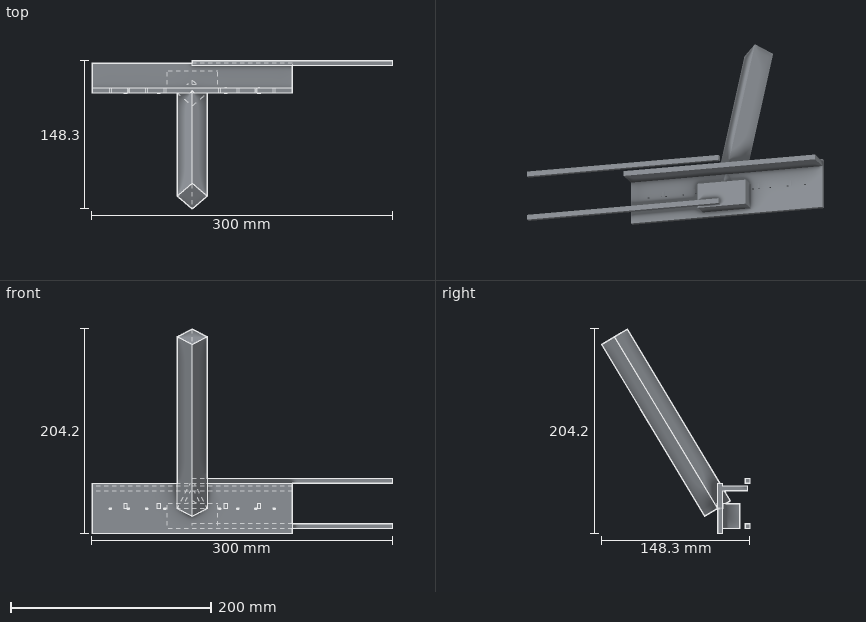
import cadquery as cq
import math


overall_length = 300.0
plate_length = overall_length * 2 / 3

plate_height = plate_length / 4
plate_thickness = plate_height / 10
flange_depth = 30.0
flange_drop = plate_thickness / 2

block_width = plate_height
block_height = plate_height / 2
block_rear = 22.2
block_bottom = plate_thickness

bar_length = plate_length
bar_diagonal = 30.0
bar_lean = 0.6
bar_tilt = math.degrees(math.atan(bar_lean))

peg_diameter = 6.0
peg_height = plate_thickness
peg_count = 5

slot_width = 2.0
slot_height = 1.0
slot_count = 10

rod_side = plate_thickness
rod_length = plate_length
rod_bottoms = (plate_thickness, plate_height)


def box_between(x_range, y_range, z_range):
    """Axis-aligned box spanning the given (low, high) ranges."""
    lows, highs = zip(x_range, y_range, z_range)
    size = [high - low for low, high in zip(lows, highs)]
    return cq.Workplane("XY").box(*size, centered=False).translate(lows)


def clear_positions(count):
    """X of `count` positions evenly dividing the plate, without those taken by the bar."""
    pitch = plate_length / (count + 1)
    positions = [pitch * (i + 1) - plate_length / 2 for i in range(count)]
    return [x for x in positions if abs(x) > bar_diagonal / 2]


def make_plate_and_flange():
    """Upright plate with a flange running back from near its top edge."""
    span = (-plate_length / 2, plate_length / 2)
    flange_top = plate_height - flange_drop
    plate = box_between(span, (0, plate_thickness), (0, plate_height))
    flange = box_between(span, (0, flange_depth), (flange_top - plate_thickness, flange_top))
    return plate.union(flange)


def make_block():
    """Block behind the plate, starting inside the plate so that the two join."""
    return box_between(
        (-block_width / 2, block_width / 2),
        (plate_thickness / 2, block_rear),
        (block_bottom, block_bottom + block_height),
    )


def make_bar():
    """Bar standing on the centre of the plate's front face, leaning towards -Y."""
    return (
        cq.Workplane("XY")
        .polygon(4, bar_diagonal)
        .extrude(bar_length)
        .rotate((0, 0, 0), (1, 0, 0), bar_tilt)
        .translate((0, 0, plate_height / 2))
    )


def make_pegs():
    """Pegs standing at mid-height inside the plate, bulging slightly out of both its faces."""
    return (
        cq.Workplane("XY", origin=(0, plate_thickness / 2, plate_height / 2))
        .pushPoints([(x, 0) for x in clear_positions(peg_count)])
        .circle(peg_diameter / 2)
        .extrude(peg_height)
    )


def make_slots():
    """Slot cutters centred on the plate's mid-height, long enough to pass right through it."""
    return (
        cq.Workplane("XY", origin=(0, plate_thickness / 2, plate_height / 2))
        .pushPoints([(x, 0) for x in clear_positions(slot_count)])
        .rect(slot_width, 2 * plate_thickness)
        .extrude(slot_height / 2, both=True)
    )


def make_bracket():
    bracket = make_plate_and_flange().cut(make_slots())
    return bracket.union(make_block()).union(make_pegs()).union(make_bar())


def make_rod(bottom):
    """Rod centred in Y on the flange's rear edge."""
    return box_between(
        (0, rod_length),
        (flange_depth - rod_side / 2, flange_depth + rod_side / 2),
        (bottom, bottom + rod_side),
    )


bracket = make_bracket()
rods = [make_rod(bottom) for bottom in rod_bottoms]

result = cq.Compound.makeCompound([bracket.val(), *(rod.val() for rod in rods)])